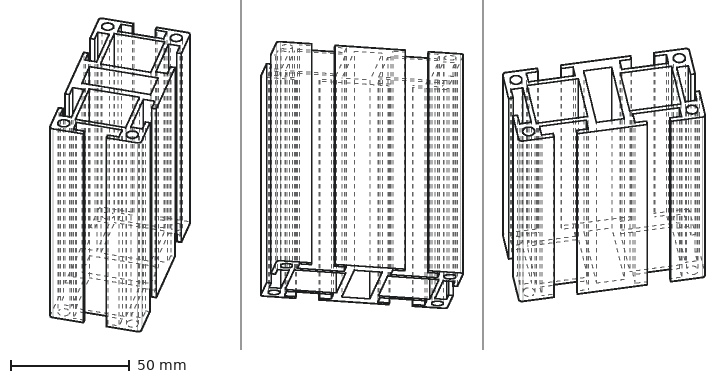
import cadquery as cq

module = 40.0
width = module
depth = 2 * module
length = 100.0
corner_radius = 1.5

slot_opening = 10.0
slot_inner_width = 20.0
slot_depth = 7.0
lip_thickness = 2.0

slot_wall = 2.0
chamber_side = module - 2 * (slot_depth + slot_wall)
middle_chamber_width = 30.0
middle_chamber_depth = 12.0
bore_diameter = 5.0
bore_inset = 5.0


def box_at(size_x, size_y, x=0.0, y=0.0):
    """Full-length rectangular prism centred on (x, y)."""
    return cq.Workplane("XY").center(x, y).rect(size_x, size_y).extrude(length)


def t_slot(face_distance, offset, angle):
    """T-slot cutter for a face facing +X, turned about Z by angle; offset runs along the face."""
    cavity_depth = slot_depth - lip_thickness
    cavity_x = face_distance - lip_thickness - cavity_depth / 2
    mouth = box_at(slot_depth, slot_opening, face_distance - slot_depth / 2, offset)
    cavity = box_at(cavity_depth, slot_inner_width, cavity_x, offset)
    return mouth.union(cavity).rotate((0, 0, 0), (0, 0, 1), angle)


body = box_at(width, depth).edges("|Z").fillet(corner_radius)

for angle in (90, 270):
    body = body.cut(t_slot(depth / 2, 0.0, angle))

for module_y in (-module / 2, module / 2):
    for angle in (0, 180):
        body = body.cut(t_slot(width / 2, module_y, angle))
    body = body.cut(box_at(chamber_side, chamber_side, 0.0, module_y))

body = body.cut(box_at(middle_chamber_width, middle_chamber_depth))

bores = (
    cq.Workplane("XY")
    .rect(width - 2 * bore_inset, depth - 2 * bore_inset, forConstruction=True)
    .vertices()
    .circle(bore_diameter / 2)
    .extrude(length)
)
result = body.cut(bores)